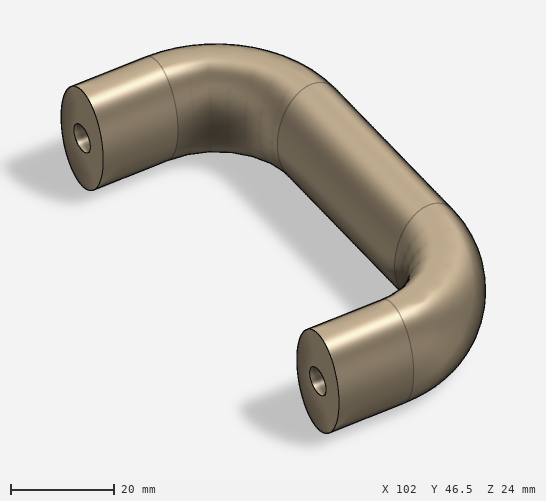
import cadquery as cq
import math

length = 102.0
projection = 46.5
grip_height = 24.0

bar_width = 15.5
leg_length = 17.0
leg_x = (length - bar_width) / 2
grip_y = projection - bar_width / 2
bend_radius = grip_y - leg_length
grip_half_length = leg_x - bend_radius

hole_diameter = 6.0
hole_depth = 12.2
drill_point_angle = 118.0


def handle_bar():
    """Sweep the oval section up one leg, along the grip and down the other leg."""
    diagonal = bend_radius * math.sqrt(0.5)
    path = (
        cq.Workplane("XY")
        .moveTo(-leg_x, 0)
        .lineTo(-leg_x, leg_length)
        .threePointArc(
            (-grip_half_length - diagonal, leg_length + diagonal),
            (-grip_half_length, grip_y),
        )
        .lineTo(grip_half_length, grip_y)
        .threePointArc(
            (grip_half_length + diagonal, leg_length + diagonal),
            (leg_x, leg_length),
        )
        .lineTo(leg_x, 0)
    )
    section = cq.Workplane("XZ", origin=(-leg_x, 0, 0)).ellipse(bar_width / 2, grip_height / 2)
    return section.sweep(path)


def mounting_hole(x):
    """Drill shape entering a leg from its end face at y = 0."""
    radius = hole_diameter / 2
    tip_length = radius / math.tan(math.radians(drill_point_angle / 2))
    return (
        cq.Workplane("XY", origin=(x, 0, 0))
        .polyline([(0, 0), (radius, 0), (radius, hole_depth), (0, hole_depth + tip_length)])
        .close()
        .revolve(360, (0, 0), (0, 1))
    )


result = handle_bar()
for hole_x in (-leg_x, leg_x):
    result = result.cut(mounting_hole(hole_x))